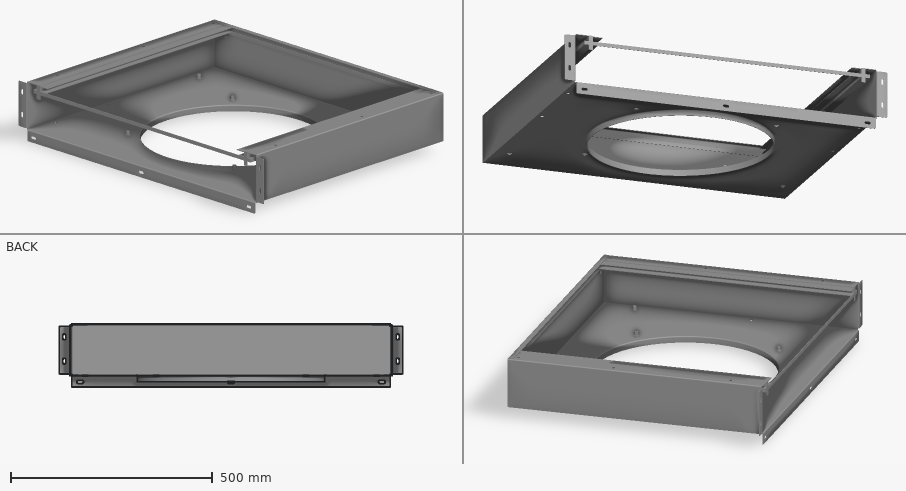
import cadquery as cq
import math

sheet = 1.5
bend_outer = 3.0
bend_inner = bend_outer - sheet
corner_radius = 3.0

overall_width = 851.6
overall_depth = 663.0
overall_height = 156.5
box_height = 128.0
box_half_width = 398.8
inner_half_width = box_half_width - sheet
side_top = box_height - sheet
frame_back_y = overall_depth - bend_outer

lip_bottom = box_height - overall_height
lip_half_width = 395.0
lip_slot_x = 373.5
lip_slot_z = -15.5
lip_slot_length = 16.0
slot_width = 7.0
rivet_hole_diameter = 8.0
rivet_hole_x = 384.0
rivet_hole_ys = (89.0, 276.0)
back_half_width = inner_half_width - bend_outer
back_flange_depth = 14.5
back_tab_depth = 11.0
back_tab_top = side_top - bend_outer
opening_y = 326.6
collar_inner_radius = 231.2
collar_bottom = -15.0

tab_bottom = 4.0
tab_top = 122.5
tab_slot_x = 413.0
tab_slot_zs = (36.0, 96.0)
tab_slot_length = 14.0
flange_slot_x = 379.0
flange_slot_ys = (89.0, 393.0, 640.0)
flange_slot_length = 9.5

insert_square_offset = 185.0
insert_side_x = 361.0
insert_side_y = 572.0
insert_bore = 6.0
insert_head_diameter = 13.0
insert_head_bottom = -2.0
insert_base_top = 5.0
insert_body_diameter = 9.0
insert_top = 14.0

frame_center_x = 3.05
rail_outer_x = 365.4
web_width = 11.0
rail_inner_x = 329.0
rail_ledge_inner_x = 334.0
rail_step = 1.5
bar_half_length = 376.6
bar_bottom = 102.0
bar_top = 111.5
post_bottom = 89.5


def block(x_range, y_range, z_range):
    """Box between pairs of X, Y and Z limits, each pair in any order."""
    limits = [sorted(pair) for pair in (x_range, y_range, z_range)]
    size = [high - low for low, high in limits]
    corner = [low for low, high in limits]
    return cq.Workplane("XY").box(*size, centered=False).translate(tuple(corner))


def bent_profile(plane, corner, legs):
    """Outline of a sheet bent square, with its outer corner at `corner` and signed legs along U and V."""
    u, v = corner
    su, sv = (math.copysign(1, leg) for leg in legs)
    outer_mid = bend_outer - bend_outer * math.sqrt(0.5)
    inner_mid = bend_outer - bend_inner * math.sqrt(0.5)

    def at(along_u, along_v):
        return (u + su * along_u, v + sv * along_v)

    leg_u, leg_v = (abs(leg) for leg in legs)
    return (
        cq.Workplane(plane)
        .moveTo(*at(leg_u, 0))
        .lineTo(*at(bend_outer, 0))
        .threePointArc(at(outer_mid, outer_mid), at(0, bend_outer))
        .lineTo(*at(0, leg_v))
        .lineTo(*at(sheet, leg_v))
        .lineTo(*at(sheet, bend_outer))
        .threePointArc(at(inner_mid, inner_mid), at(bend_outer, sheet))
        .lineTo(*at(leg_u, sheet))
        .close()
    )


def bent_sheet(plane, corner, legs, length):
    """Bent outline drawn out over `length`."""
    return bent_profile(plane, corner, legs).extrude(length)


def front_slots(centers, length, angle):
    """Cutters for slots through the front sheet, centred at (X, Z) points."""
    return (
        cq.Workplane("XZ")
        .pushPoints(centers)
        .slot2D(length, slot_width, angle)
        .extrude(-sheet)
    )


def floor_holes(centers, diameter):
    """Cutters for round holes through the floor, centred at (X, Y) points."""
    return cq.Workplane("XY").pushPoints(centers).circle(diameter / 2).extrude(sheet)


def insert_centers():
    """Four inserts in a square around the opening and one near each rear side."""
    square = [
        (sx * insert_square_offset, opening_y + sy * insert_square_offset)
        for sx in (-1, 1)
        for sy in (-1, 1)
    ]
    return square + [(sx * insert_side_x, insert_side_y) for sx in (-1, 1)]


def make_collar():
    """Ring drawn down from the floor around the air opening."""
    tube_plane = cq.Plane(origin=(0, opening_y, 0), xDir=(-1, 0, 0), normal=(0, 1, 0))
    outline = bent_profile(
        tube_plane,
        (collar_inner_radius, sheet),
        (2 * bend_outer, collar_bottom - sheet),
    )
    return outline.revolve(360, (0, 0), (0, 1))


def make_back():
    """Back wall with a top flange and two tabs folded forward to lie inside the side panels."""
    wall_plane = cq.Plane(origin=(-back_half_width, 0, 0), xDir=(0, 1, 0), normal=(1, 0, 0))
    back = bent_sheet(
        wall_plane,
        (overall_depth, box_height),
        (-back_flange_depth, 2 * bend_outer - box_height),
        2 * back_half_width,
    )
    foot = bent_sheet(
        wall_plane,
        (overall_depth, 0),
        (-2 * bend_outer, 2 * bend_outer),
        2 * back_half_width,
    )
    back = back.union(foot)
    tab_plane = cq.Workplane("XY", origin=(0, 0, bend_outer)).plane
    for side in (-1, 1):
        tab = bent_sheet(
            tab_plane,
            (side * inner_half_width, overall_depth),
            (-side * 2 * bend_outer, -back_tab_depth),
            back_tab_top - bend_outer,
        )
        back = back.union(tab)
    return back


def make_base():
    """Floor with its front lip, back wall, collar and holes."""
    plate = block(
        (-inner_half_width, inner_half_width),
        (bend_outer, overall_depth - bend_outer),
        (0, sheet),
    )
    lip = bent_sheet(
        cq.Plane(origin=(-lip_half_width, 0, 0), xDir=(0, 1, 0), normal=(1, 0, 0)),
        (0, sheet),
        (2 * bend_outer, lip_bottom - sheet),
        2 * lip_half_width,
    )
    lip = lip.edges("|Y and <Z").fillet(corner_radius)
    slots = front_slots([(x, lip_slot_z) for x in (-lip_slot_x, 0, lip_slot_x)], lip_slot_length, 0)
    opening = floor_holes([(0, opening_y)], 2 * (collar_inner_radius + bend_outer))
    insert_holes = floor_holes(insert_centers(), insert_body_diameter)
    rivet_points = [(sx * rivet_hole_x, y) for sx in (-1, 1) for y in rivet_hole_ys]
    rivet_holes = floor_holes(rivet_points, rivet_hole_diameter)
    base = plate.union(lip).cut(slots).cut(opening).cut(insert_holes).cut(rivet_holes)
    return base.union(make_collar()).union(make_back())


def make_side(side):
    """Side panel with its top flange and front mounting tab; `side` is -1 for left and 1 for right."""
    flange_edge = frame_center_x + side * rail_outer_x
    flange_width = abs(side * box_half_width - flange_edge)
    wall_plane = cq.Plane(origin=(0, bend_outer, 0), xDir=(1, 0, 0), normal=(0, -1, 0))
    wall = bent_sheet(
        wall_plane,
        (side * box_half_width, side_top),
        (-side * flange_width, -side_top),
        bend_outer - overall_depth,
    )
    flange_front = block(
        (side * (box_half_width - bend_outer), flange_edge),
        (0, bend_outer),
        (side_top - sheet, side_top),
    )
    under_back_flange = block(
        (side * (box_half_width - bend_outer), flange_edge),
        (frame_back_y, overall_depth),
        (side_top - sheet, side_top),
    )
    tab_plane = cq.Workplane("XY", origin=(0, 0, tab_bottom)).plane
    tab_width = overall_width / 2 - inner_half_width
    tab = bent_sheet(
        tab_plane,
        (side * inner_half_width, 0),
        (side * tab_width, 2 * bend_outer),
        tab_top - tab_bottom,
    )
    tab = tab.edges("|Y").edges(">X" if side > 0 else "<X").fillet(corner_radius)
    tab_slots = front_slots([(side * tab_slot_x, z) for z in tab_slot_zs], tab_slot_length, 90)
    flange_slots = (
        cq.Workplane("XY", origin=(0, 0, side_top - sheet))
        .pushPoints([(side * flange_slot_x, y) for y in flange_slot_ys])
        .slot2D(flange_slot_length, slot_width)
        .extrude(sheet)
    )
    return wall.cut(under_back_flange).union(flange_front).union(tab).cut(tab_slots).cut(flange_slots)


def make_insert(center):
    """Threaded insert clamped in a floor hole, with a head below the floor and a base above it."""

    def cylinder(diameter, bottom, top):
        return cq.Workplane("XY", origin=(*center, bottom)).circle(diameter / 2).extrude(top - bottom)

    head = cylinder(insert_head_diameter, insert_head_bottom, 0)
    base = cylinder(insert_head_diameter, sheet, insert_base_top)
    body = cylinder(insert_body_diameter, insert_head_bottom, insert_top)
    bore = cylinder(insert_bore, insert_head_bottom, insert_top)
    return body.union(head).union(base).cut(bore)


def make_frame():
    """Two rails joined by cross bars at the front and back, with a short post under each rail end.

    Each rail is a web with an outer arm, an inner ledge and a top leg over the ledge.
    """
    full_depth = (0, frame_back_y)
    end_ranges = ((0, sheet), (frame_back_y - sheet, frame_back_y))
    web_inner_x = rail_outer_x - web_width
    leg_top = side_top - rail_step
    frame = None
    for y_range in end_ranges:
        bar = block((-bar_half_length, bar_half_length), y_range, (bar_bottom, bar_top))
        frame = bar if frame is None else frame.union(bar)
    for side in (-1, 1):
        web_x = (side * web_inner_x, side * rail_outer_x)
        leg_x = (side * rail_inner_x, side * web_inner_x)
        arm_x = (side * rail_outer_x, side * bar_half_length)
        ledge_x = (side * rail_ledge_inner_x, side * web_inner_x)
        frame = frame.union(block(web_x, full_depth, (bar_bottom, side_top)))
        frame = frame.union(block(leg_x, full_depth, (leg_top - sheet, leg_top)))
        frame = frame.union(block(arm_x, full_depth, (bar_bottom, bar_top)))
        frame = frame.union(block(ledge_x, full_depth, (bar_top - sheet, bar_top)))
        for y_range in end_ranges:
            frame = frame.union(block(web_x, y_range, (post_bottom, bar_bottom)))
    return frame.translate((frame_center_x, 0, 0)).clean()


base_panel = make_base()
side_panels = [make_side(side) for side in (-1, 1)]
inserts = [make_insert(center) for center in insert_centers()]
filter_frame = make_frame()

result = cq.Compound.makeCompound(
    [
        base_panel.val(),
        *[panel.val() for panel in side_panels],
        *[insert.val() for insert in inserts],
        filter_frame.val(),
    ]
)